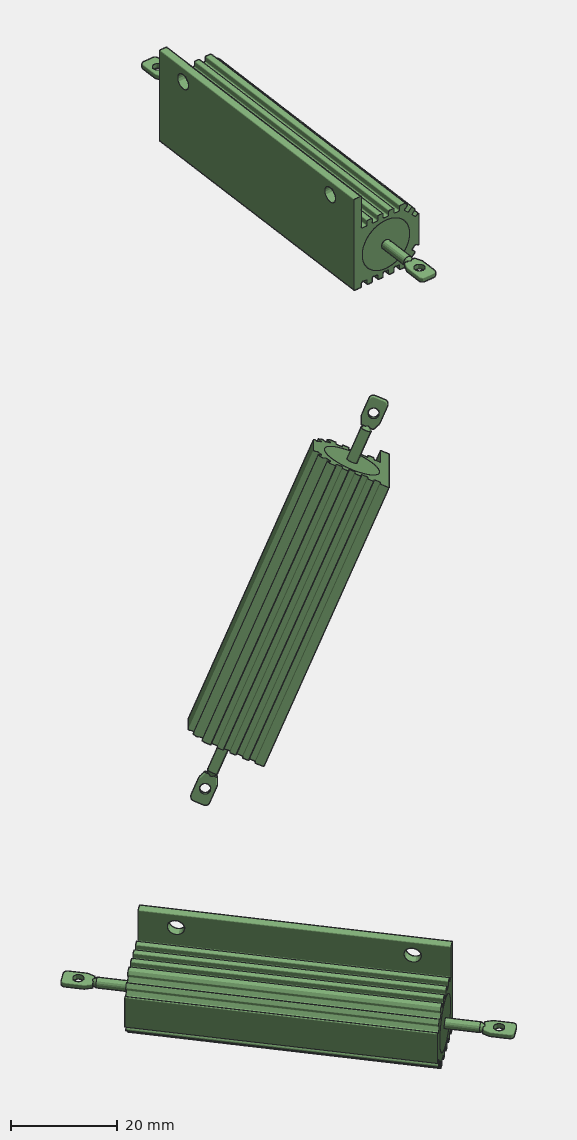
import cadquery as cq
import math

overall_length = 86.2
sink_length = 59.5
sink_depth = 15.4
sink_height = 14.9
axis_y = 7.6
axis_z = 7.4

plate_height = 21.2
plate_thickness = 1.8
plate_hole_diameter = 3.3
plate_hole_spacing = 45.0
plate_hole_drop = 3.1

groove_width = 1.3
groove_depth = 1.2
groove_pitch = (axis_y - plate_thickness - groove_width / 2) / 2
straight_groove_count = 4
corner_groove_count = 2
corner_leg = 3.4
corner_groove_shift = 0.5
profile_radius = 0.3

core_diameter = 11.2
rod_diameter = 2.1
tab_length = 6.0
tab_width = 3.8
tab_thickness = 1.1
tab_corner_radius = 0.9
tab_neck_width = 2.6
tab_edge_radius = 0.3
tab_straight_length = 4.6
tab_hole_diameter = 2.1
tab_hole_inset = 3.1
rod_taper_length = 0.9


def extrude_along_x(workplane, length):
    """Extrude a Y-Z outline symmetrically about X = 0."""
    return workplane.extrude(length / 2, both=True)


def groove(center_y, center_z, angle):
    """Groove cutter sunk into a face at the given point; angle is the outward direction from +Y."""
    return (
        cq.Workplane("XY")
        .box(sink_length, 2 * groove_depth, groove_width)
        .rotate((0, 0, 0), (1, 0, 0), angle)
        .translate((0, center_y, center_z))
    )


def make_heat_sink():
    """Grooved extrusion with a bore for the core and a mounting plate."""
    outline = [
        (0, 0),
        (sink_depth - corner_leg, 0),
        (sink_depth, corner_leg),
        (sink_depth, sink_height - corner_leg),
        (sink_depth - corner_leg, sink_height),
        (plate_thickness, sink_height),
        (plate_thickness, plate_height),
        (0, plate_height),
    ]
    sink = extrude_along_x(cq.Workplane("YZ").polyline(outline).close(), sink_length)

    for index in range(straight_groove_count):
        y = plate_thickness + groove_width / 2 + index * groove_pitch
        sink = sink.cut(groove(y, sink_height, 90))
        sink = sink.cut(groove(y, 0, -90))

    bevel_y = sink_depth - corner_leg / 2
    for index in range(corner_groove_count):
        offset = corner_groove_shift + (index - (corner_groove_count - 1) / 2) * groove_pitch
        step = offset / math.sqrt(2)
        sink = sink.cut(groove(bevel_y + step, sink_height - corner_leg / 2 - step, 45))
        sink = sink.cut(groove(bevel_y + step, corner_leg / 2 + step, -45))

    sink = sink.edges("|X").fillet(profile_radius)

    holes = (
        cq.Workplane("XZ")
        .pushPoints([(side * plate_hole_spacing / 2, plate_height - plate_hole_drop) for side in (-1, 1)])
        .circle(plate_hole_diameter / 2)
        .extrude(-plate_thickness)
    )

    bore = extrude_along_x(
        cq.Workplane("YZ").center(axis_y, axis_z).circle(core_diameter / 2), sink_length
    )
    return sink.cut(holes).cut(bore)


def make_core():
    """Round core filling the bore of the heat sink, with a hole for the lead."""
    return extrude_along_x(
        cq.Workplane("YZ")
        .center(axis_y, axis_z)
        .circle(core_diameter / 2)
        .circle(rod_diameter / 2),
        sink_length,
    )


def make_tab():
    """Flat terminal tab at the -X end of the lead, centred on the X axis."""
    tip_x = -overall_length / 2
    shoulder_x = tip_x + tab_straight_length
    neck_x = tip_x + tab_length
    outline = [
        (tip_x, -tab_width / 2),
        (shoulder_x, -tab_width / 2),
        (neck_x, -tab_neck_width / 2),
        (neck_x, tab_neck_width / 2),
        (shoulder_x, tab_width / 2),
        (tip_x, tab_width / 2),
    ]
    return (
        cq.Workplane("XY")
        .polyline(outline)
        .close()
        .extrude(tab_thickness / 2, both=True)
        .edges("|Z and (not >X)")
        .fillet(tab_corner_radius)
        .faces("<Z or >Z")
        .edges("not(>X)")
        .fillet(tab_edge_radius)
        .cut(
            cq.Workplane("XY")
            .center(tip_x + tab_hole_inset, 0)
            .circle(tab_hole_diameter / 2)
            .extrude(tab_thickness, both=True)
        )
    )


def make_lead():
    """Rod through the core with a flat tab on each end."""
    taper_end_x = overall_length / 2 - tab_length + tab_edge_radius
    taper_start_x = taper_end_x - rod_taper_length
    rod_radius = rod_diameter / 2
    half_outline = [
        (-taper_end_x, 0),
        (-taper_end_x, tab_thickness / 2),
        (-taper_start_x, rod_radius),
        (taper_start_x, rod_radius),
        (taper_end_x, tab_thickness / 2),
        (taper_end_x, 0),
    ]
    rod = cq.Workplane("XZ").polyline(half_outline).close().revolve(360, (0, 0), (1, 0))
    tab = make_tab()
    lead = rod.union(tab).union(tab.mirror("YZ"))
    return lead.translate((0, axis_y, axis_z))


heat_sink = make_heat_sink()
core = make_core()
lead = make_lead()

result = cq.Compound.makeCompound([heat_sink.val(), core.val(), lead.val()])